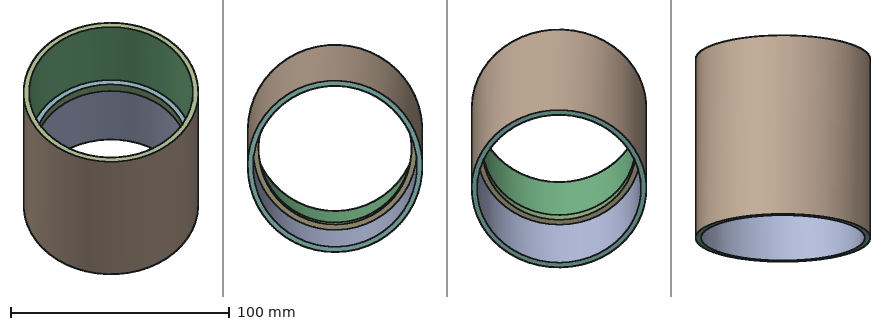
import cadquery as cq

outer_diameter = 80.0
socket_diameter = 75.0
stop_bore_diameter = 70.0
socket_depth = 40.0
stop_width = 5.0
length = 2 * socket_depth + stop_width


def cylinder(diameter, base_z, height):
    """Solid cylinder on the Z axis, standing on base_z."""
    return cq.Workplane("XY").workplane(offset=base_z).circle(diameter / 2).extrude(height)


sleeve = cylinder(outer_diameter, 0, length)

sleeve = sleeve.cut(cylinder(stop_bore_diameter, 0, length))

for socket_base in (0, socket_depth + stop_width):
    sleeve = sleeve.cut(cylinder(socket_diameter, socket_base, socket_depth))

result = sleeve